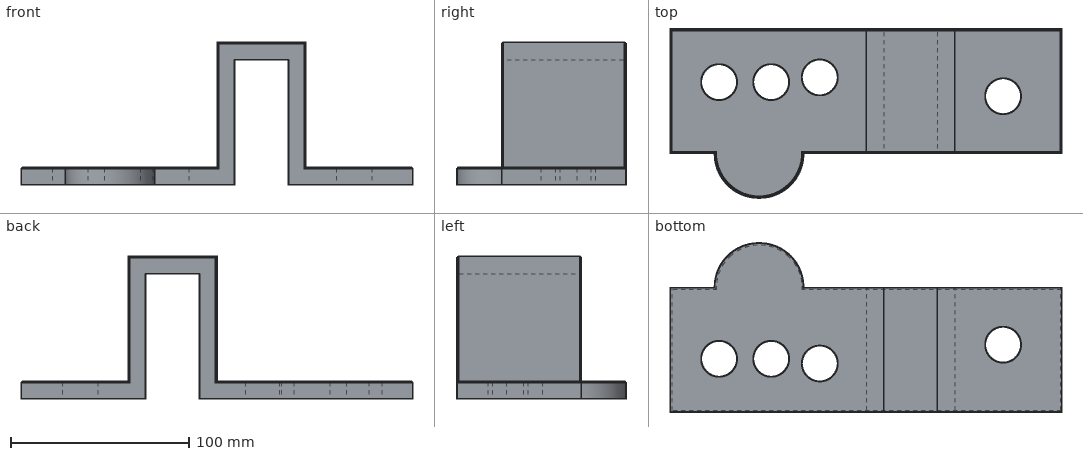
import cadquery as cq

length = 220.0
width = 70.0
height = 80.0
thickness = 10.0
hat_start = length / 2
hat_width = 50.0
tab_radius = 25.0
tab_center_x = 50.0
edge_chamfer = 1.0
hole_diameter = 20.0
hole_centers = [(27.5, 40.0), (56.8, 40.0), (84.0, 42.7), (187.0, 32.1)]
tolerance = 0.02


def box_from(x, z_size, x_size):
    """Block across the full strap width, standing on the base plane."""
    return cq.Workplane("XY").box(x_size, width, z_size, centered=False).translate((x, 0, 0))


def make_blank():
    """Flat strap with a half-round tab and a solid raised hat."""
    strap = box_from(0, thickness, length)
    hat = box_from(hat_start, height, hat_width)
    tab = cq.Workplane("XY").center(tab_center_x, 0).circle(tab_radius).extrude(thickness)
    return strap.union(hat).union(tab).clean()


def is_broken_edge(edge):
    """True for upper perimeter edges, but not for the bend lines across the hat."""
    bounds = edge.BoundingBox()
    above_side_walls = bounds.zmin > thickness - tolerance
    runs_across = bounds.ylen > width - tolerance
    at_strap_end = bounds.xmin < tolerance or bounds.xmax > length - tolerance
    return above_side_walls and (at_strap_end or not runs_across)


def chamfer_perimeter(body):
    """Chamfer the upper perimeter of the strap, tab and hat."""
    edges = [edge for edge in body.edges().vals() if is_broken_edge(edge)]
    return body.newObject(edges).chamfer(edge_chamfer)


body = chamfer_perimeter(make_blank())

channel = box_from(hat_start + thickness, height - thickness, hat_width - 2 * thickness)

holes = cq.Workplane("XY").pushPoints(hole_centers).circle(hole_diameter / 2).extrude(thickness)

result = body.cut(channel).cut(holes)